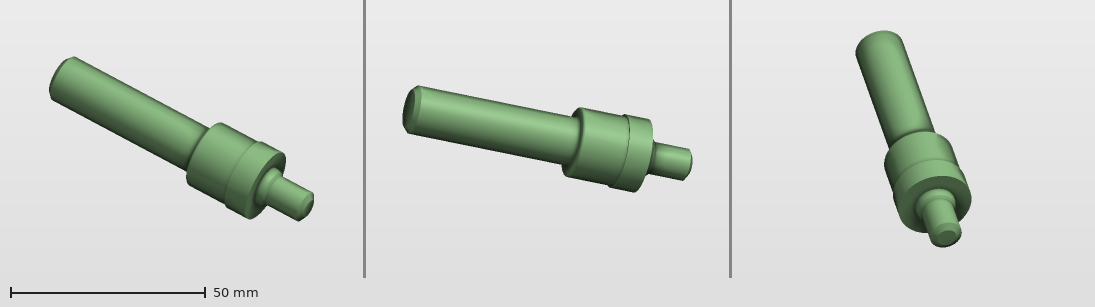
import cadquery as cq

total_length = 76.2
body_start = 44.35
flange_start = 56.7
flange_end = 63.0
seat_length = 2.05
seat_taper_length = 0.7

shank_radius = 6.3
body_radius = 9.15
flange_diameter = 19.3
flange_radius = flange_diameter / 2
seat_sphere_radius = 5.3
pin_radius = 4.2

shank_chamfer = 1.3
shoulder_blend = 0.7
pin_chamfer_length = 1.1
pin_chamfer_depth = 1.7

seat_end = flange_end + seat_length
pin_start = seat_end + seat_taper_length


def seat_radius_at(offset):
    """Radius of the spherical seat at an axial distance from the flange face."""
    return (seat_sphere_radius**2 - offset**2) ** 0.5


profile = (
    cq.Workplane("XY")
    .lineTo(0, shank_radius - shank_chamfer)
    .lineTo(shank_chamfer, shank_radius)
    .lineTo(body_start - shoulder_blend, shank_radius)
    .radiusArc((body_start, shank_radius + shoulder_blend), -shoulder_blend)
    .lineTo(body_start, body_radius - shoulder_blend)
    .radiusArc((body_start + shoulder_blend, body_radius), shoulder_blend)
    .lineTo(flange_start, body_radius)
    .lineTo(flange_start, flange_radius)
    .lineTo(flange_end, flange_radius)
    .lineTo(flange_end, seat_sphere_radius)
    .threePointArc(
        (flange_end + seat_length / 2, seat_radius_at(seat_length / 2)),
        (seat_end, seat_radius_at(seat_length)),
    )
    .lineTo(pin_start, pin_radius)
    .lineTo(total_length - pin_chamfer_length, pin_radius)
    .lineTo(total_length, pin_radius - pin_chamfer_depth)
    .lineTo(total_length, 0)
    .close()
)

result = profile.revolve(360, (0, 0, 0), (1, 0, 0)).translate((-total_length / 2, 0, 0))